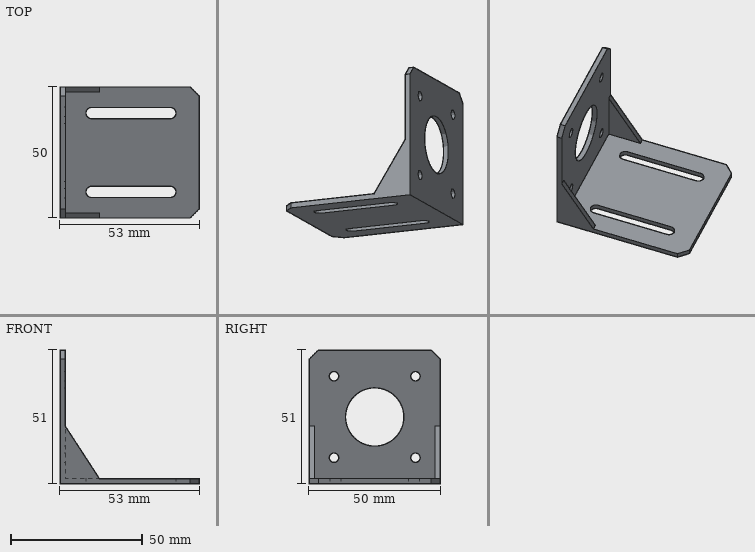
import cadquery as cq

length = 53.0
width = 50.0
height = 51.0
thickness = 2.0
corner_chamfer = 3.5

gusset_length = 15.0
gusset_height = 22.0

pilot_diameter = 22.1
screw_diameter = 3.5
screw_spacing = 31.0

slot_width = 4.2
slot_travel = 30.0
slot_spacing = 30.0
slot_center_x = 27.0


def make_base():
    """Horizontal plate with chamfered far corners and two slots."""
    plate = cq.Workplane("XY").box(length, width, thickness, centered=(False, True, False))
    plate = plate.edges("|Z and >X").chamfer(corner_chamfer)
    slots = (
        cq.Workplane("XY")
        .center(slot_center_x, 0)
        .rarray(0.55, slot_spacing, 1, 2)
        .slot2D(slot_travel + slot_width, slot_width)
        .extrude(thickness)
    )
    return plate.cut(slots)


def make_wall():
    """Vertical plate with chamfered top corners, pilot bore and screw holes."""
    plate = cq.Workplane("XY").box(thickness, width, height, centered=(False, True, False))
    plate = plate.edges("|X and >Z").chamfer(corner_chamfer)
    face = cq.Workplane("YZ").center(0, height / 2)
    pilot = face.circle(pilot_diameter / 2).extrude(thickness)
    screws = (
        face.rarray(screw_spacing, screw_spacing, 2, 2)
        .circle(screw_diameter / 2)
        .extrude(thickness)
    )
    return plate.cut(pilot).cut(screws)


def make_gusset(start_y):
    """Side web occupying start_y to start_y + thickness."""
    outline = [
        (0, 0),
        (gusset_length, 0),
        (gusset_length, thickness),
        (thickness, gusset_height),
        (0, gusset_height),
    ]
    return (
        cq.Workplane("XZ", origin=(0, start_y, 0))
        .polyline(outline)
        .close()
        .extrude(-thickness)
    )


result = make_base().union(make_wall())
for gusset_y in (-width / 2, width / 2 - thickness):
    result = result.union(make_gusset(gusset_y))
result = result.clean()